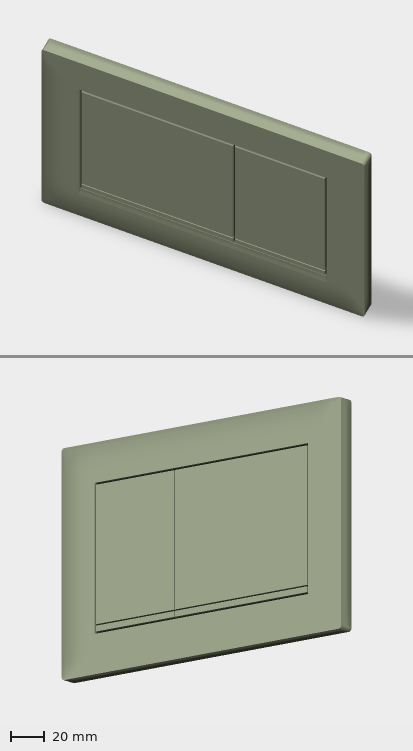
import cadquery as cq

WIDTH = 212.0
HEIGHT = 142.0
THICKNESS = 10.0
CORNER_RADIUS = 2.1

WINDOW_WIDTH = 161.5
WINDOW_HEIGHT = 92.5
BEVEL_DEPTH = 0.6
SIDE_BEVEL = 0.8
SILL_BEVEL = 4.7

SIDE_GAP = 0.8
END_GAP = 1.3
BODY_GAP = 0.8
SPLIT_X = 20.4
STRIP_HEIGHT = 3.5
BUTTON_CHAMFER = 0.5

window_right = WINDOW_WIDTH / 2
window_top = WINDOW_HEIGHT / 2
panel_right = window_right - SIDE_GAP
panel_top = window_top - END_GAP
strip_top = -panel_top + STRIP_HEIGHT


def make_block(left, right, bottom, top):
    """Upright box spanning the full thickness, from Y = 0 back."""
    size = (right - left, THICKNESS, top - bottom)
    return cq.Workplane("XY").box(*size, centered=False).translate((left, 0, bottom))


def make_window_bevel():
    """Tapered cutter that widens the window at the sides and sill towards the front."""
    back_outline = cq.Workplane("XZ", origin=(0, BEVEL_DEPTH, 0)).rect(WINDOW_WIDTH, WINDOW_HEIGHT)
    return (
        back_outline.workplane(offset=BEVEL_DEPTH)
        .center(0, -SILL_BEVEL / 2)
        .rect(WINDOW_WIDTH + 2 * SIDE_BEVEL, WINDOW_HEIGHT + SILL_BEVEL)
        .loft(ruled=True)
    )


def make_frame():
    plate = make_block(-WIDTH / 2, WIDTH / 2, -HEIGHT / 2, HEIGHT / 2)
    plate = plate.edges("|Y").fillet(CORNER_RADIUS)
    window = make_block(-window_right, window_right, -window_top, window_top)
    return plate.cut(window).cut(make_window_bevel())


def make_panel(left, right, bottom, top, chamfered_edges):
    """Flat panel filling the frame depth, chamfered around the chosen front edges."""
    panel = make_block(left, right, bottom, top)
    return panel.faces("<Y").edges(chamfered_edges).chamfer(BUTTON_CHAMFER)


def make_button(left, right):
    return make_panel(left, right, strip_top + BODY_GAP, panel_top, "|Z or >Z")


def make_strip(left, right):
    return make_panel(left, right, -panel_top, strip_top, "|Z or <Z")


column_spans = [
    (-panel_right, SPLIT_X - BODY_GAP / 2),
    (SPLIT_X + BODY_GAP / 2, panel_right),
]

frame = make_frame()
buttons = [make_button(left, right).val() for left, right in column_spans]
strips = [make_strip(left, right).val() for left, right in column_spans]

result = cq.Compound.makeCompound([frame.val(), *buttons, *strips])